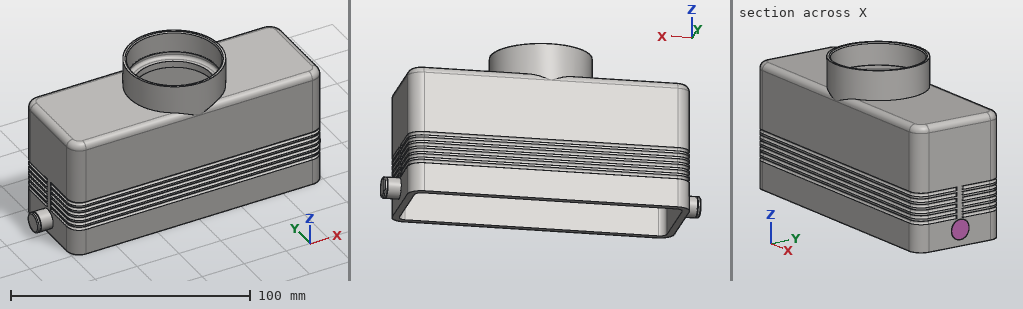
import math

import cadquery as cq

body_length = 120.0
body_width = 43.0
body_height = 55.0
corner_radius = 6.0
top_edge_radius = 3.0
wall = 3.0

total_height = 68.0
collar_diameter = body_width
collar_bore_diameter = 40.0
collar_rim_chamfer = 0.5
entry_diameter = 35.0
seat_height = body_height
relief_diameter = 41.0
relief_height = 3.0
relief_fillet = 1.5

groove_count = 6
groove_pitch = 2.44
groove_radius = 0.75
first_groove_height = 13.05
plain_strip_width = 3.0

pin_span = 135.0
pin_diameter = 9.0
pin_height = 7.4
pin_core_diameter = 6.0
pin_tip_chamfer = 0.5
pin_head_thickness = 1.3
pin_gap = 0.3


def rounded_block(length, width, height, radius):
    """Upright block standing on Z = 0 with rounded vertical edges."""
    return cq.Workplane("XY").rect(length, width).extrude(height).edges("|Z").fillet(radius)


def make_shell():
    """Outer body with a rounded roof edge, before hollowing."""
    block = rounded_block(body_length, body_width, body_height, corner_radius)
    return block.faces(">Z").edges().fillet(top_edge_radius)


def make_collar():
    """Solid collar blank, as wide as the body."""
    bottom = body_height - top_edge_radius
    return (
        cq.Workplane("XY", origin=(0, 0, bottom))
        .circle(collar_diameter / 2)
        .extrude(total_height - bottom)
    )


def pin_disc(diameter, inner_end, outer_end):
    """Cylinder on the pin axis between two distances from the middle of the body."""
    return (
        cq.Workplane("YZ", origin=(inner_end, 0, pin_height))
        .circle(diameter / 2)
        .extrude(outer_end - inner_end)
    )


def make_pin():
    """Pin on the +X end: core, sleeve and head, with a narrow gap at each end of the sleeve."""
    end_face = body_length / 2
    tip = pin_span / 2
    head_start = tip - pin_head_thickness
    core = pin_disc(pin_core_diameter, end_face - wall, head_start)
    sleeve = pin_disc(pin_diameter, end_face + pin_gap, head_start - pin_gap)
    head = pin_disc(pin_diameter, head_start, tip).faces(">X").edges().chamfer(pin_tip_chamfer)
    return core.union(sleeve).union(head)


def make_cavity():
    """Space inside the body, open at the bottom."""
    return rounded_block(
        body_length - 2 * wall, body_width - 2 * wall, body_height - wall, corner_radius - wall
    )


def make_entry_bore():
    """Stepped bore: chamfered collar bore, filleted relief and passage into the cavity."""
    bottom = body_height - 2 * wall
    entry_radius = entry_diameter / 2
    bore_radius = collar_bore_diameter / 2
    rim_radius = bore_radius + collar_rim_chamfer
    relief_radius = relief_diameter / 2
    relief_top = seat_height + relief_height
    arc_sag = relief_fillet * (1 - math.sqrt(0.5))
    return (
        cq.Workplane("XZ")
        .moveTo(0, bottom)
        .lineTo(entry_radius, bottom)
        .lineTo(entry_radius, seat_height)
        .lineTo(relief_radius - relief_fillet, seat_height)
        .threePointArc(
            (relief_radius - arc_sag, seat_height + arc_sag),
            (relief_radius, seat_height + relief_fillet),
        )
        .lineTo(relief_radius, relief_top)
        .lineTo(bore_radius, relief_top)
        .lineTo(bore_radius, total_height - collar_rim_chamfer)
        .lineTo(rim_radius, total_height)
        .lineTo(0, total_height)
        .close()
        .revolve(360, (0, 0), (0, 1))
    )


def make_groove(height):
    """Round-bottomed cutter running around the body, interrupted by a plain strip on each end."""
    path = rounded_block(body_length, body_width, height, corner_radius).faces(">Z").wires()
    ring = cq.Workplane("YZ", origin=(0, -body_width / 2, height)).circle(groove_radius).sweep(path)
    strip = cq.Workplane("XY").box(body_length + wall, plain_strip_width, 2 * total_height)
    return ring.cut(strip)


hood = make_shell()
for index in range(groove_count):
    hood = hood.cut(make_groove(first_groove_height + index * groove_pitch))

pin = make_pin()
hood = hood.union(make_collar()).cut(make_cavity()).cut(make_entry_bore())
result = hood.union(pin).union(pin.mirror("YZ"))